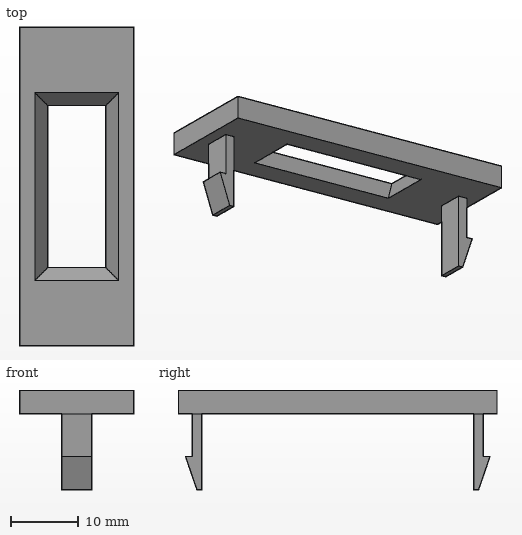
import cadquery as cq

width = 17.0
length = 47.5
height = 14.8
plate_thickness = 3.5

window_width = 12.5
window_length = 28.0
window_inset = 1.95

leg_width = 4.5
leg_thickness = 1.45
leg_setback = 2.05
barb_height = 5.0
barb_overhang = 1.0
tip_thickness = 0.75


def make_plate():
    """Flat plate with its top face at Z = 0."""
    return cq.Workplane("XY").rect(width, length).extrude(-plate_thickness)


def make_window():
    """Tapered cutter for the rectangular window."""
    return (
        cq.Workplane("XY")
        .rect(window_width, window_length)
        .workplane(offset=-plate_thickness)
        .rect(window_width - 2 * window_inset, window_length - 2 * window_inset)
        .loft(ruled=True)
    )


def make_leg():
    """Barbed leg at the +Y end, its profile extruded symmetrically about X = 0."""
    outer_y = length / 2 - leg_setback
    inner_y = outer_y - leg_thickness
    barb_top = barb_height - height
    profile = [
        (inner_y, -plate_thickness),
        (outer_y, -plate_thickness),
        (outer_y, barb_top),
        (outer_y + barb_overhang, barb_top),
        (inner_y + tip_thickness, -height),
        (inner_y, -height),
    ]
    return cq.Workplane("YZ").polyline(profile).close().extrude(leg_width / 2, both=True)


leg = make_leg()
result = make_plate().cut(make_window()).union(leg).union(leg.mirror("XZ"))